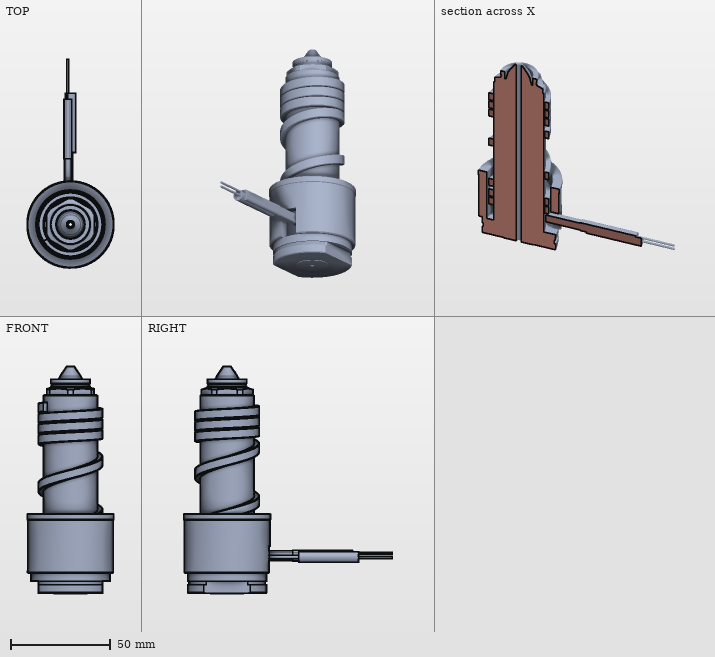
import cadquery as cq
import math


total_height = 114.8
inlet_pad_height = 0.2
foot_top = 4.5
neck_top = 6.4
housing_bottom = 10.3
slot_top = 24.1
flange_bottom = 37.2
housing_top = 40.4
tube_top = 100.6
nut_edge_top = 103.1
nut_cone_top = 104.1
collar_groove_bottom = 104.7
collar_groove_step = 105.7
collar_groove_top = 106.4
collar_top = 108.4
tip_break_height = 110.2
tip_recess_depth = 4.6

inlet_pad_radius = 8.3
foot_radius = 20.0
neck_radius = 19.3
housing_radius = 21.7
flange_radius = 21.98
cavity_radius = 17.1
tube_radius = 13.7
nut_corner_radius = 13.1
collar_radius = 10.0
collar_groove_radius = 9.5
collar_shoulder_radius = 9.8
tip_recess_radius = 7.3
tip_base_radius = 7.1
tip_flare_radius = 6.0
tip_break_radius = 5.0
tip_end_radius = 2.0
bore_radius = 1.1

foot_across_flats = 32.4
nut_across_flats = 24.0
slot_width = 9.0
housing_chamfer = 0.6
flange_chamfer = 0.3
cavity_chamfer = 0.3
bore_chamfer = 0.6
foot_chamfer = 0.5
tube_chamfer = 0.7

coil_clearance = 0.1
coil_inner_radius = tube_radius + coil_clearance
coil_outer_radius = 16.3
strip_thickness = coil_outer_radius - coil_inner_radius
strip_height = 4.8
strip_chamfer = 0.3
tight_pitch = 5.3
loose_pitch = 26.6
coil_end_angle = 212.0
coil_end_height = 94.3
upper_tight_turns = 3.04
blend_sweep = 117.0
loose_sweep = 489.0
coil_spans = 220
coil_start_angle = 95.0 - 7 * 360.0

cable_x = -1.4
cable_z = 19.3
cable_width = 3.5
cable_height = 5.0
cable_corner = 0.8
cable_start = coil_inner_radius + strip_thickness / 4
sleeve_width = 4.0
sleeve_height = 5.6
sleeve_corner = 1.0
sleeve_start = 33.2
sleeve_length = 30.1
sensor_z = 18.6
sensor_lead_radius = 1.0
sensor_tube_radius = 2.8
sensor_tube_start = 36.3
wire_radius = 0.6
wire_spacing = 2.2
wire_end = 83.5


def cylinder(radius, bottom, top):
    return cq.Workplane("XY").workplane(offset=bottom).circle(radius).extrude(top - bottom)


def make_foot():
    """Inlet pad, foot disc and neck, with two wrench flats facing -X and +X."""
    disc = cylinder(foot_radius, inlet_pad_height, foot_top).faces("<Z").chamfer(foot_chamfer)
    foot = disc.union(cylinder(neck_radius, foot_top, neck_top))
    flats = cq.Workplane("XY").box(foot_across_flats, 2 * foot_radius, neck_top, (True, True, False))
    return foot.intersect(flats).union(cylinder(inlet_pad_radius, 0, inlet_pad_height))


def make_housing():
    """Flanged cup with an open cavity and a lead slot through its +Y wall."""
    base = cylinder(foot_radius, neck_top, housing_bottom)
    cup = cylinder(housing_radius, housing_bottom, flange_bottom).faces("<Z").chamfer(housing_chamfer)
    flange = cylinder(flange_radius, flange_bottom, housing_top).edges().chamfer(flange_chamfer)
    slot = cq.Workplane("XY").workplane(offset=housing_bottom).box(
        slot_width, flange_radius, slot_top - housing_bottom, (True, False, False)
    )
    cup = cup.union(flange).cut(cylinder(cavity_radius, housing_bottom, housing_top))
    cavity_rim = cq.selectors.RadiusNthSelector(0)
    cup = cup.faces(">Z").edges(cavity_rim).chamfer(cavity_chamfer)
    return base.union(cup.cut(slot))


def make_tube():
    return cylinder(tube_radius, housing_bottom, tube_top).faces(">Z").chamfer(tube_chamfer)


def make_nut():
    """Hexagon with corners turned down and a shallow conical top."""
    hexagon = (
        cq.Workplane("XY").workplane(offset=tube_top)
        .polygon(6, nut_across_flats, circumscribed=True)
        .extrude(nut_cone_top - tube_top)
    )
    turned_profile = [
        (0, tube_top),
        (nut_corner_radius, tube_top),
        (nut_corner_radius, nut_edge_top),
        (collar_radius, nut_cone_top),
        (0, nut_cone_top),
    ]
    turned = cq.Workplane("XZ").polyline(turned_profile).close().revolve()
    return hexagon.intersect(turned)


def make_collar_and_tip():
    """Grooved collar with a ring recess around the conical tip."""
    recess_floor = collar_top - tip_recess_depth
    collar = (
        cylinder(collar_radius, nut_cone_top, collar_groove_bottom)
        .union(cylinder(collar_groove_radius, collar_groove_bottom, collar_groove_step))
        .union(cylinder(collar_shoulder_radius, collar_groove_step, collar_groove_top))
        .union(cylinder(collar_radius, collar_groove_top, collar_top))
    )
    tip_profile = [
        (0, recess_floor),
        (tip_base_radius, recess_floor),
        (tip_flare_radius, collar_top),
        (tip_break_radius, tip_break_height),
        (tip_end_radius, total_height),
        (0, total_height),
    ]
    tip = cq.Workplane("XZ").polyline(tip_profile).close().revolve()
    return collar, cylinder(tip_recess_radius, recess_floor, collar_top), tip


def make_nozzle():
    collar, recess, tip = make_collar_and_tip()
    outside = make_foot().union(make_housing()).union(make_tube()).union(make_nut()).union(collar)
    nozzle_body = outside.cut(recess).union(tip).cut(cylinder(bore_radius, 0, total_height))
    return nozzle_body.faces(">Z").edges(cq.selectors.RadiusNthSelector(0)).chamfer(bore_chamfer)


def pitch_change(angle_past):
    """Angle-weighted effect of a pitch change that ramps in evenly over the blend sweep."""
    blended = min(max(angle_past, 0), blend_sweep)
    past_blend = max(angle_past - blend_sweep, 0)
    return blended**2 / (2 * blend_sweep) + past_blend


def coil_height(angle):
    """Strip centre height: tight turns at both ends, loose turns between, smooth pitch changes."""
    drop_angle = coil_end_angle - angle
    past_upper_turns = drop_angle - 360 * upper_tight_turns
    past_loose_turns = past_upper_turns - blend_sweep - loose_sweep
    loose_angle = pitch_change(past_upper_turns) - pitch_change(past_loose_turns)
    drop = tight_pitch * drop_angle + (loose_pitch - tight_pitch) * loose_angle
    return coil_end_height - drop / 360


def coil_edge(radius, height_offset):
    """Curve followed by one long edge of the strip, from its lower to its upper end."""
    fractions = [i / coil_spans for i in range(coil_spans + 1)]
    points = []
    for fraction in fractions:
        angle = coil_start_angle + fraction * (coil_end_angle - coil_start_angle)
        turn = math.radians(angle)
        height = coil_height(angle) + height_offset
        points.append(cq.Vector(radius * math.cos(turn), radius * math.sin(turn), height))
    return cq.Edge.makeSpline(points, parameters=fractions)


def make_coil():
    """Rectangular strip with chamfered outer edges, skinned between its long edges."""
    half_height = strip_height / 2
    flat_half_height = half_height - strip_chamfer
    flat_outer_radius = coil_outer_radius - strip_chamfer
    section = [
        (coil_inner_radius, -half_height),
        (flat_outer_radius, -half_height),
        (coil_outer_radius, -flat_half_height),
        (coil_outer_radius, flat_half_height),
        (flat_outer_radius, half_height),
        (coil_inner_radius, half_height),
    ]
    edges = [coil_edge(radius, offset) for radius, offset in section]
    sides = [cq.Face.makeRuledSurface(edges[i - 1], edges[i]) for i in range(len(edges))]
    end_corners = ([edge.startPoint() for edge in edges], [edge.endPoint() for edge in edges])
    ends = [cq.Face.makeFromWires(cq.Wire.makePolygon(corners, close=True)) for corners in end_corners]
    return cq.Workplane(cq.Solid.makeSolid(cq.Shell.makeShell(sides + ends)))


def along_y(x, z, start):
    """Workplane facing +Y, centred on a lead; local X points toward -X."""
    return cq.Workplane(cq.Plane(origin=(x, start, z), xDir=(-1, 0, 0), normal=(0, 1, 0)))


def make_flat_lead(width, height, corner, start, end):
    bar = along_y(cable_x, cable_z, start).rect(width, height).extrude(end - start)
    return bar.edges("|Y").fillet(corner)


def make_round_lead(radius, x, z, start, end):
    return along_y(x, z, start).circle(radius).extrude(end - start)


def make_leads():
    sleeve_end = sleeve_start + sleeve_length
    leads = make_flat_lead(cable_width, cable_height, cable_corner, cable_start, sleeve_start)
    leads = leads.union(make_flat_lead(sleeve_width, sleeve_height, sleeve_corner, sleeve_start, sleeve_end))
    for side in (-1, 1):
        wire_z = cable_z + side * wire_spacing / 2
        leads = leads.union(make_round_lead(wire_radius, cable_x, wire_z, sleeve_end, wire_end))
    sensor_tube_end = sensor_tube_start + sleeve_length
    leads = leads.union(make_round_lead(sensor_lead_radius, 0, sensor_z, cable_start, sensor_tube_start))
    return leads.union(make_round_lead(sensor_tube_radius, 0, sensor_z, sensor_tube_start, sensor_tube_end))


def make_heater():
    return make_coil().union(make_leads())


nozzle = make_nozzle()
heater = make_heater()
result = cq.Compound.makeCompound([*nozzle.solids().vals(), *heater.solids().vals()])